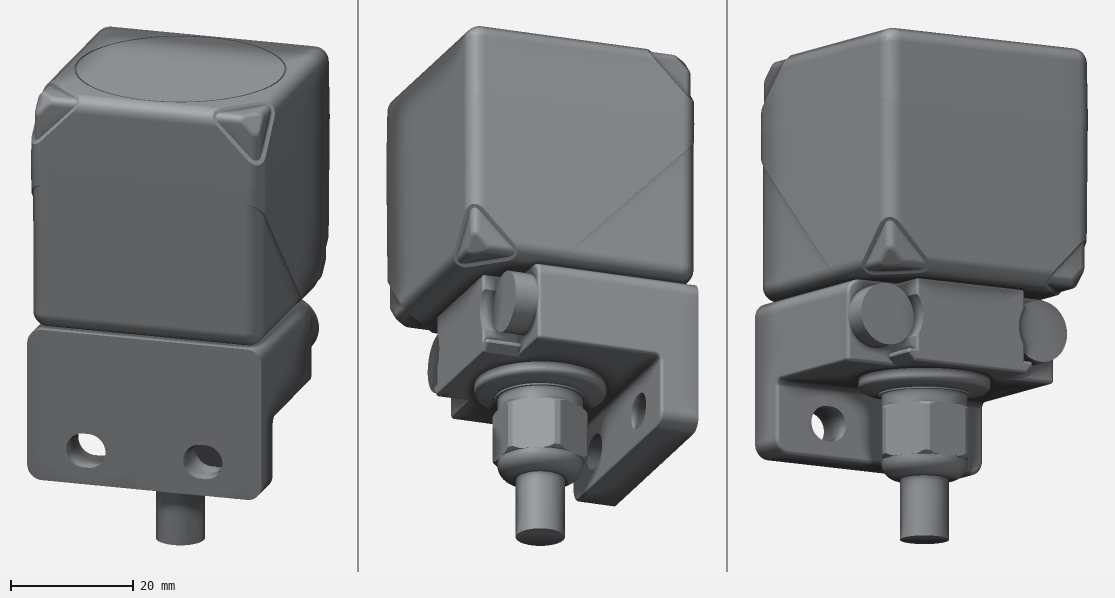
import cadquery as cq
import math

width = 40.1
total_height = 80.8
half = width / 2

head_bottom = 40.5
parting_z = 68.4
cap_height = total_height - parting_z
base_height = parting_z - head_bottom
cap_radius = 2.5
base_radius = 2.6
cap_draft = 0.8
base_draft = 0.4
face_ring_radius = 17.4
groove_width = 0.3
groove_depth = 0.25

wedge_side = 19.7
wedge_top = 65.3

relief_size = 9.85
key_inset = 0.6
key_size = 8.9
key_radius = 1.3
key_facet = 5.3
facet_blend = 1.0

bracket_bottom = 14.5
arm_bottom = 26.65
arm_back = 8.1
plate_back = -13.4
bracket_radius = 2.5
inner_radius = 1.0
rear_edge_radius = 0.6
slot_x = 10.0
slot_z = 20.35
slot_length = 6.7
slot_width = 5.8

clamp_side = 10.5
clamp_back = 14.1
clamp_radius = 0.5
ledge_side = 12.1
ledge_top = 28.7
ledge_chamfer = 1.3
screw_x = 14.95
screw_z = 34.3
screw_radius = 5.1
screw_back = 12.0
screw_clearance = 5.65

flange_radius = 10.8
flange_rim_z = 25.5
flange_rim_radius = 0.9
neck_radius = 7.0
flange_foot_radius = 7.5
flange_foot_z = 23.9
flange_foot_lip = 0.25
nut_top = 21.7
nut_bottom = 13.1
nut_corner_radius = 7.8
nut_chamfer = 0.5
collar_bottom = 10.0
collar_radius = 2.6
cable_radius = 4.0


def drafted_half(height, draft, front_draft, radius):
    """Block rising from Z = 0 and narrowing upwards, rounded everywhere but at its foot."""
    end = end_half_width(height, draft)
    front_end = end_half_width(height, front_draft)
    across = (
        cq.Workplane("XZ")
        .polyline([(-half, 0), (half, 0), (end, height), (-end, height)])
        .close()
        .extrude(width, both=True)
    )
    along = (
        cq.Workplane("YZ")
        .polyline([(-half, 0), (half, 0), (end, height), (-front_end, height)])
        .close()
        .extrude(width, both=True)
    )
    return across.intersect(along).edges("not <Z").fillet(radius)


def end_half_width(height, draft):
    """Half width of a drafted half at its narrow end."""
    return half - height * math.tan(math.radians(draft))


def make_head():
    cap = drafted_half(cap_height, cap_draft, cap_draft, cap_radius).translate((0, 0, parting_z))
    base = drafted_half(base_height, base_draft, 0, base_radius).mirror("XY").translate((0, 0, parting_z))

    run = wedge_top - head_bottom
    reach = 0.8
    front_zone = (
        cq.Workplane("YZ")
        .polyline([
            (-half - reach, wedge_top + reach),
            (-half + run + reach, head_bottom - reach),
            (-half - reach, head_bottom - reach),
        ])
        .close()
        .extrude(width, both=True)
    )
    wedge = (
        cq.Workplane("XY", origin=(0, 0, head_bottom))
        .rect(2 * wedge_side, width)
        .extrude(base_height)
        .edges("|Z or <Z")
        .fillet(base_radius)
        .intersect(front_zone)
    )
    head = base.cut(front_zone).union(wedge).union(cap)

    groove = (
        cq.Workplane("XY", origin=(0, 0, total_height - groove_depth))
        .circle(face_ring_radius)
        .circle(face_ring_radius - groove_width)
        .extrude(groove_depth)
    )
    return head.cut(groove)


def beyond_diagonal(intercept):
    """Space outside the plane that meets all three axes at the given intercept."""
    third = intercept / 3
    plane = cq.Plane(origin=(third, third, third), xDir=(1, -1, 0), normal=(-1, -1, -1))
    return cq.Workplane(plane).rect(3 * relief_size, 3 * relief_size).extrude(relief_size)


def relieve_corner(head, corner_x, corner_y, corner_z, down):
    """Plane one corner off and leave a smaller rounded key standing in its place.

    The relief is shaped around the origin with the head along +X, +Y and +Z,
    then mirrored to face the corner. Set down when the head lies below the corner.
    """
    key = cq.Workplane("XY").box(key_size, key_size, key_size, centered=False)
    key = key.edges().fillet(key_radius).translate((key_inset, key_inset, key_inset))
    key = key.cut(beyond_diagonal(key_facet))
    tip_facet = cq.selectors.DirectionMinMaxSelector(cq.Vector(-1, -1, -1), True)
    key = key.faces(tip_facet).edges().fillet(facet_blend)
    cutter = beyond_diagonal(relief_size)

    def place(shape):
        if corner_x > 0:
            shape = shape.mirror("YZ")
        if corner_y > 0:
            shape = shape.mirror("XZ")
        if down:
            shape = shape.mirror("XY")
        return shape.translate((corner_x, corner_y, corner_z))

    return head.cut(place(cutter)).union(place(key))


def make_bracket():
    outline = (
        cq.Workplane("XZ", origin=(0, -half, 0))
        .center(0, (head_bottom + bracket_bottom) / 2)
        .rect(width, head_bottom - bracket_bottom)
        .extrude(-(half + arm_back))
        .edges("|Y")
        .fillet(bracket_radius)
    )
    below_arm = (
        cq.Workplane("XY")
        .box(2 * width, width, arm_bottom, centered=(True, False, False))
        .translate((0, plate_back, 0))
        .edges("|X and <Y and >Z")
        .fillet(inner_radius)
    )
    slots = (
        cq.Workplane("XZ", origin=(0, -half, 0))
        .pushPoints([(-slot_x, slot_z), (slot_x, slot_z)])
        .slot2D(slot_length, slot_width)
        .extrude(-(half + plate_back))
    )
    bracket = outline.cut(below_arm)
    underside = cq.selectors.BoxSelector(
        (-width, plate_back - inner_radius, 0),
        (width, width, arm_bottom + inner_radius),
    )
    rims = bracket.edges(underside).edges("(not |X) or <Z").add(bracket.faces(">Y").edges())
    bracket = bracket.newObject(rims.vals()).fillet(rear_edge_radius)
    return bracket.cut(slots)


def make_clamp():
    block = (
        cq.Workplane("XY")
        .box(2 * clamp_side, clamp_back, head_bottom - arm_bottom, centered=(True, False, False))
        .translate((0, 0, arm_bottom))
        .edges("(|Y and >Z) or >Y")
        .fillet(clamp_radius)
    )
    ledge = (
        cq.Workplane("XY")
        .box(2 * ledge_side, clamp_back, ledge_top - arm_bottom, centered=(True, False, False))
        .translate((0, 0, arm_bottom))
        .edges("|Y and <Z")
        .chamfer(ledge_chamfer)
        .edges("(|Y and >Z) or >Y")
        .fillet(clamp_radius)
    )
    screw_places = [(-screw_x, screw_z), (screw_x, screw_z)]
    scallops = (
        cq.Workplane("XZ", origin=(0, arm_back, 0))
        .pushPoints(screw_places)
        .circle(screw_clearance)
        .extrude(-clamp_back)
    )
    screws = (
        cq.Workplane("XZ", origin=(0, arm_back, 0))
        .pushPoints(screw_places)
        .circle(screw_radius)
        .extrude(arm_back - screw_back)
    )
    return block.cut(scallops).union(ledge).union(screws)


def make_gland():
    turned = (
        cq.Workplane("XZ")
        .lineTo(cable_radius, 0)
        .lineTo(cable_radius, collar_bottom)
        .lineTo(neck_radius - collar_radius, collar_bottom)
        .radiusArc((neck_radius, collar_bottom + collar_radius), -collar_radius)
        .lineTo(neck_radius, flange_foot_z)
        .lineTo(flange_foot_radius, flange_foot_z)
        .lineTo(flange_foot_radius, flange_foot_z + flange_foot_lip)
        .lineTo(flange_radius - flange_rim_radius, flange_rim_z - flange_rim_radius)
        .radiusArc((flange_radius, flange_rim_z), -flange_rim_radius)
        .lineTo(flange_radius, arm_bottom)
        .lineTo(0, arm_bottom)
        .close()
        .revolve(360, (0, 0), (0, 1))
    )
    nut_height = nut_top - nut_bottom
    blank = cq.Workplane("XY").circle(nut_corner_radius).extrude(nut_height).edges().chamfer(nut_chamfer)
    across_corners = 2 * neck_radius / math.cos(math.pi / 6)
    nut = cq.Workplane("XY").polygon(6, across_corners).extrude(nut_height).intersect(blank)
    return turned.union(nut.translate((0, 0, nut_bottom)))


head = make_head()
cap_corner = end_half_width(cap_height, cap_draft)
base_corner = end_half_width(base_height, base_draft)
for side in (-1, 1):
    head = relieve_corner(head, side * cap_corner, -cap_corner, total_height, True)
    head = relieve_corner(head, side * base_corner, base_corner, head_bottom, False)

result = head.union(make_bracket()).union(make_clamp()).union(make_gland()).solids()